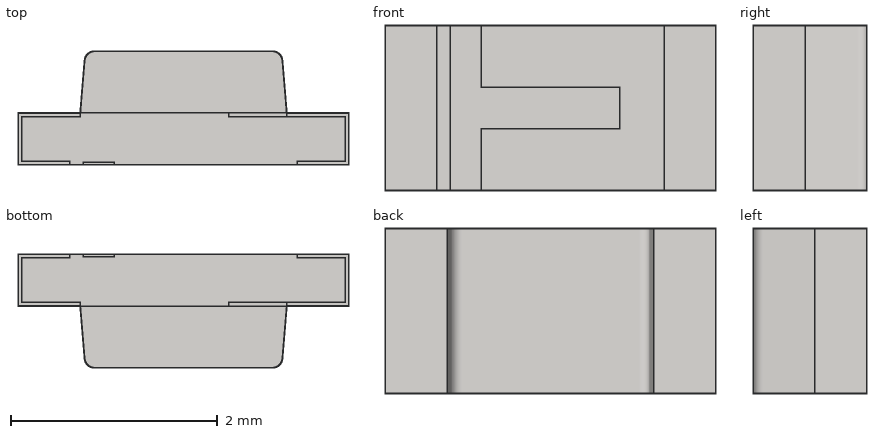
import cadquery as cq

LENGTH = 3.2
HEIGHT = 1.6
BOARD_DEPTH = 0.502

LENS_DEPTH = 0.6
LENS_BASE = 2.0
LENS_TIP = 1.9
LENS_RADIUS = 0.1

PLATING = 0.035
FRONT_FLANGE = 0.5
BACK_FLANGE = (LENGTH - LENS_BASE) / 2
PAD_LENGTH = 0.563

MARK_DEPTH = 0.025
MARK_LEFT = -0.97
BAR_WIDTH = 0.3
STEM_LENGTH = 1.338
STEM_HEIGHT = 0.4


def block(x_start, x_end, y_start, y_end, height=HEIGHT):
    """Box between two X and two Y positions, centred on Z."""
    return (
        cq.Workplane("XY")
        .box(x_end - x_start, y_end - y_start, height, centered=(False, False, True))
        .translate((x_start, y_start, 0))
    )


def make_terminal(side):
    """C-shaped plating wrapped around one end of the board; side is -1 (left) or +1 (right)."""
    end = side * LENGTH / 2
    inner_end = end - side * PLATING
    front_tip = end - side * FRONT_FLANGE
    back_tip = end - side * BACK_FLANGE
    inner_back = BOARD_DEPTH - PLATING
    outline = [
        (front_tip, 0),
        (end, 0),
        (end, BOARD_DEPTH),
        (back_tip, BOARD_DEPTH),
        (back_tip, inner_back),
        (inner_end, inner_back),
        (inner_end, PLATING),
        (front_tip, PLATING),
    ]
    return cq.Workplane("XY").polyline(outline).close().extrude(HEIGHT / 2, both=True)


def make_die_pad():
    """Plating under the lens that continues the back flange of the right terminal."""
    pad_end = LENS_BASE / 2
    return block(pad_end - PAD_LENGTH, pad_end, BOARD_DEPTH - PLATING, BOARD_DEPTH)


def make_polarity_mark():
    """Full-height bar with a central stem pointing to +X."""
    bar_right = MARK_LEFT + BAR_WIDTH
    bar = block(MARK_LEFT, bar_right, 0, MARK_DEPTH)
    stem = block(bar_right, bar_right + STEM_LENGTH, 0, MARK_DEPTH, STEM_HEIGHT)
    return bar.union(stem)


def make_board(inlays):
    """Board with a recess for every metal or printed body set into it."""
    board = block(-LENGTH / 2, LENGTH / 2, 0, BOARD_DEPTH)
    for inlay in inlays:
        board = board.cut(inlay)
    return board


def make_lens():
    """Full-height lens, tapered towards +Y, with its two outer edges rounded."""
    lens_back = BOARD_DEPTH + LENS_DEPTH
    outline = [
        (-LENS_BASE / 2, BOARD_DEPTH),
        (LENS_BASE / 2, BOARD_DEPTH),
        (LENS_TIP / 2, lens_back),
        (-LENS_TIP / 2, lens_back),
    ]
    lens = cq.Workplane("XY").polyline(outline).close().extrude(HEIGHT / 2, both=True)
    return lens.faces(">Y").edges("|Z").fillet(LENS_RADIUS)


terminals = [make_terminal(side) for side in (-1, 1)]
die_pad = make_die_pad()
polarity_mark = make_polarity_mark()
board = make_board([*terminals, die_pad, polarity_mark])
lens = make_lens()

result = cq.Compound.makeCompound([
    board.val(),
    *[terminal.val() for terminal in terminals],
    die_pad.val(),
    polarity_mark.val(),
    lens.val(),
])